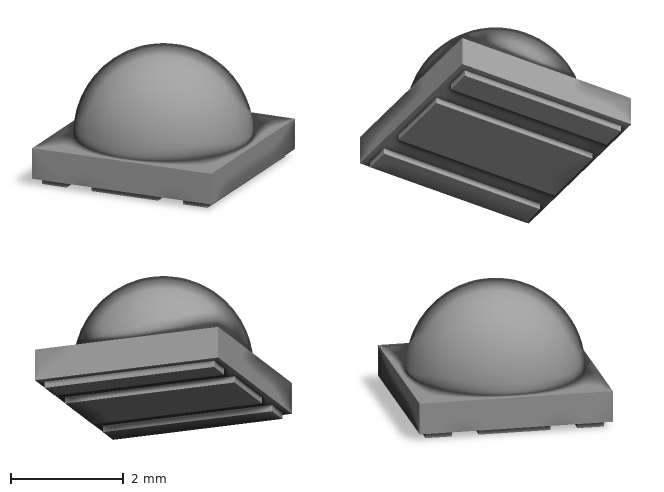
import cadquery as cq

board_size = 3.5
pad_thickness = 0.12
board_thickness = 0.57
board_top = pad_thickness + board_thickness

lens_radius = 1.6
plate_depth = 0.12
plate_cut_x = 0.472
plate_cut_y = 0.588

pad_length = 3.235
pad_row_width = 3.235
side_pad_width = 0.48
centre_pad_width = 1.3
side_pad_offset = (pad_row_width - side_pad_width) / 2


def lens_plate():
    """Square plate, as wide as the dome, with both -X corners cut off."""
    edge = lens_radius
    outline = [
        (edge, -edge),
        (edge, edge),
        (-edge + plate_cut_x, edge),
        (-edge, edge - plate_cut_y),
        (-edge, -edge + plate_cut_y),
        (-edge + plate_cut_x, -edge),
    ]
    return (
        cq.Workplane("XY", origin=(0, 0, board_top - plate_depth))
        .polyline(outline)
        .close()
        .extrude(plate_depth)
    )


def make_lens():
    """Plate and hemispherical dome in one piece."""
    dome = (
        cq.Workplane("XZ")
        .lineTo(lens_radius, 0)
        .radiusArc((0, lens_radius), -lens_radius)
        .close()
        .revolve(360, (0, 0), (0, 1))
        .translate((0, 0, board_top))
    )
    return lens_plate().union(dome)


def make_board():
    """Square board with a recess that fits the lens plate."""
    underside = cq.Workplane("XY", origin=(0, 0, pad_thickness))
    slab = underside.rect(board_size, board_size).extrude(board_thickness)
    return slab.cut(lens_plate())


def make_pad(x_centre, width):
    """Flat solder pad under the board."""
    return cq.Workplane("XY").center(x_centre, 0).rect(width, pad_length).extrude(pad_thickness)


lens = make_lens()
board = make_board()
pad_layout = [
    (-side_pad_offset, side_pad_width),
    (0, centre_pad_width),
    (side_pad_offset, side_pad_width),
]
pads = [make_pad(x_centre, width) for x_centre, width in pad_layout]

result = cq.Compound.makeCompound([board.val(), lens.val(), *[pad.val() for pad in pads]])